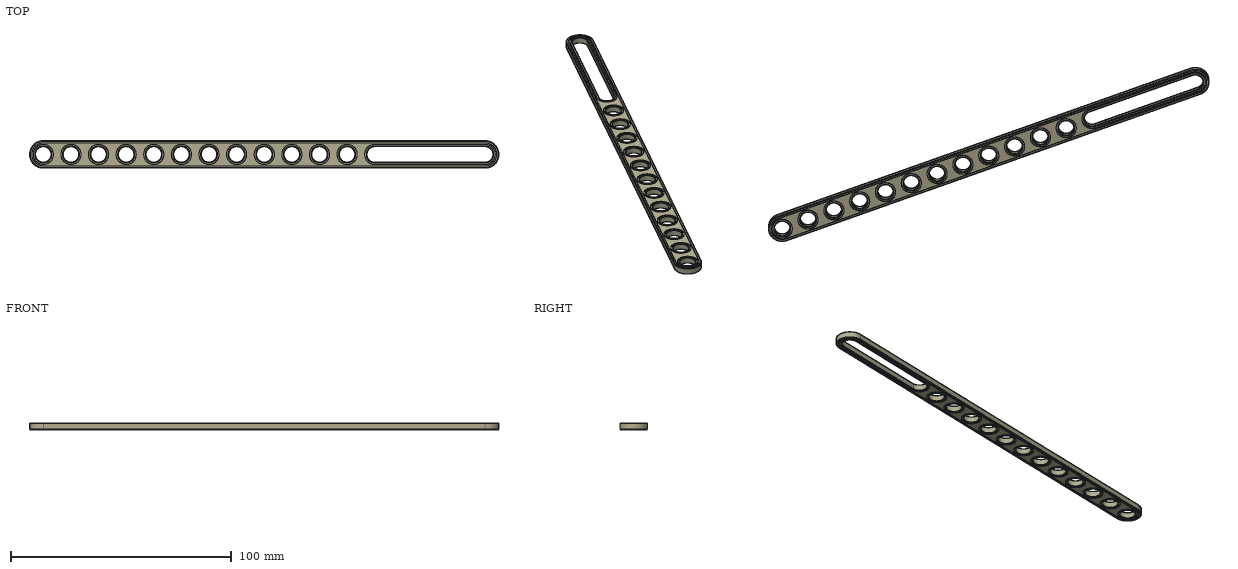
import cadquery as cq

length = 212.5
thickness = 3.2
pitch_count = 17
hole_count = 12
opening_width = 7.0
collar_width = 9.1
rim_wall = 1.0
recess_depth = 0.25
edge_chamfer = 0.32

pitch = length / pitch_count
width = pitch
first_hole_x = (pitch - length) / 2
hole_centres = [(first_hole_x + i * pitch, 0) for i in range(hole_count)]

slot_start_x = first_hole_x + hole_count * pitch
slot_end_x = -first_hole_x
slot_middle_x = (slot_start_x + slot_end_x) / 2
slot_travel = slot_end_x - slot_start_x


def round_ended_bar(inset, height):
    """Bar with full-round ends, inset evenly from the full outline."""
    return cq.Workplane("XY").slot2D(length - 2 * inset, width - 2 * inset).extrude(height)


def openings(size, height, taper=0):
    """The row of holes and the long slot as solids of the given width at the base."""
    holes = cq.Workplane("XY").pushPoints(hole_centres).circle(size / 2).extrude(height, taper=taper)
    slot_sketch = cq.Workplane("XY").center(slot_middle_x, 0).slot2D(slot_travel + size, size)
    return holes.union(slot_sketch.extrude(height, taper=taper))


def cut_both_faces(body, bottom_cutter):
    """Cut a cutter into the bottom face and its mirror image into the top face."""
    top_cutter = bottom_cutter.mirror("XY").translate((0, 0, thickness))
    return body.cut(bottom_cutter).cut(top_cutter)


bar = round_ended_bar(0, thickness).faces("<Z or >Z").edges().chamfer(edge_chamfer)

recess = round_ended_bar(rim_wall, recess_depth).cut(openings(collar_width, recess_depth))
bar = cut_both_faces(bar, recess)

bar = bar.cut(openings(opening_width, thickness))
mouth_bevels = openings(opening_width + 2 * edge_chamfer, edge_chamfer, taper=45)
result = cut_both_faces(bar, mouth_bevels)